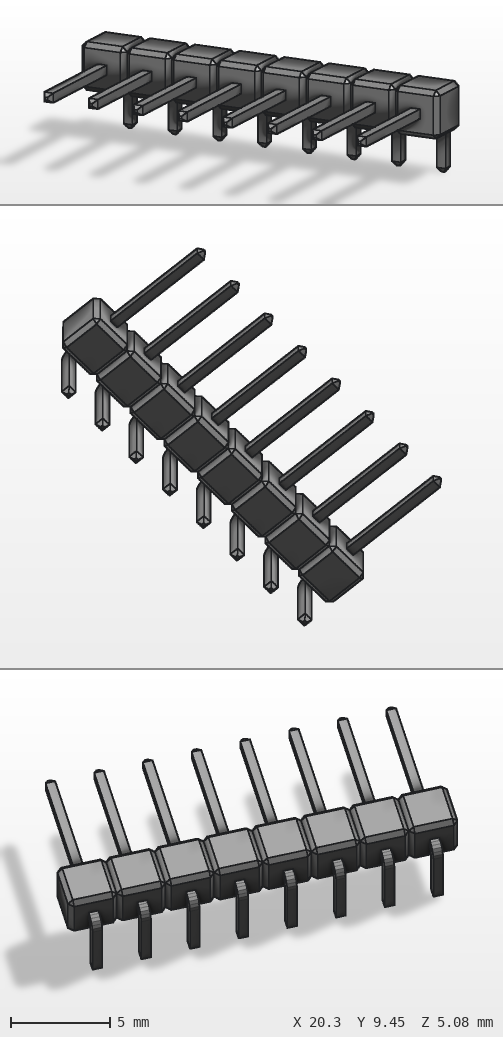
import cadquery as cq
import math

position_count = 8
row_length = 20.32
pitch = row_length / position_count

block_size = pitch
block_chamfer = block_size / 10

pin_width = pitch / 5
tip_length = pin_width / 2
tip_flat = 0.15
front_reach = 6.14
rear_reach = 0.77
leg_drop = pitch
bend_inner_radius = 0.2
bend_facets = 5
facet_turn = 90 / (bend_facets + 1)
bend_outer_radius = bend_inner_radius + pin_width

half_block = block_size / 2
half_pin = pin_width / 2
front_end_y = -half_block - front_reach
leg_back_y = half_block + rear_reach
leg_end_z = -half_block - leg_drop
bend_centre_y = leg_back_y - bend_outer_radius
bend_centre_z = half_pin - bend_outer_radius


def make_block():
    """Cube with every edge chamfered."""
    return cq.Workplane("XY").box(block_size, block_size, block_size).edges().chamfer(block_chamfer)


def make_tip(base_plane):
    """Blunt four-sided point standing on the end of a pin."""
    return (
        cq.Workplane(base_plane)
        .rect(pin_width, pin_width)
        .workplane(offset=tip_length)
        .rect(tip_flat, tip_flat)
        .loft(combine=True)
    )


def bend_points(radius):
    """Corners of the faceted bend, from shank to leg, with every facet tangent to the radius."""
    corner_radius = radius / math.cos(math.radians(facet_turn / 2))
    points = []
    for step in range(bend_facets + 1):
        angle = math.radians(90 - facet_turn * (step + 0.5))
        points.append(
            (bend_centre_y + corner_radius * math.cos(angle), bend_centre_z + corner_radius * math.sin(angle))
        )
    return points


def make_pin():
    """Right-angle square pin with a point at both ends."""
    shank_end_y = front_end_y + tip_length
    leg_tip_z = leg_end_z + tip_length
    side_outline = [
        (shank_end_y, half_pin),
        *bend_points(bend_outer_radius),
        (leg_back_y, leg_tip_z),
        (leg_back_y - pin_width, leg_tip_z),
        *reversed(bend_points(bend_inner_radius)),
        (shank_end_y, -half_pin),
    ]
    shank_and_leg = (
        cq.Workplane("YZ", origin=(-half_pin, 0, 0)).polyline(side_outline).close().extrude(pin_width)
    )
    front_tip = make_tip(cq.Plane(origin=(0, shank_end_y, 0), xDir=(1, 0, 0), normal=(0, -1, 0)))
    leg_tip = make_tip(
        cq.Plane(origin=(0, leg_back_y - half_pin, leg_tip_z), xDir=(1, 0, 0), normal=(0, 0, -1))
    )
    return shank_and_leg.union(front_tip).union(leg_tip)


def make_segment(centre_x):
    """One header position: a block and its pin as a single solid."""
    return make_block().union(make_pin()).translate((centre_x, 0, 0))


first_centre_x = -row_length / 2 + pitch / 2
segments = [make_segment(first_centre_x + index * pitch) for index in range(position_count)]

result = cq.Compound.makeCompound([segment.val() for segment in segments])